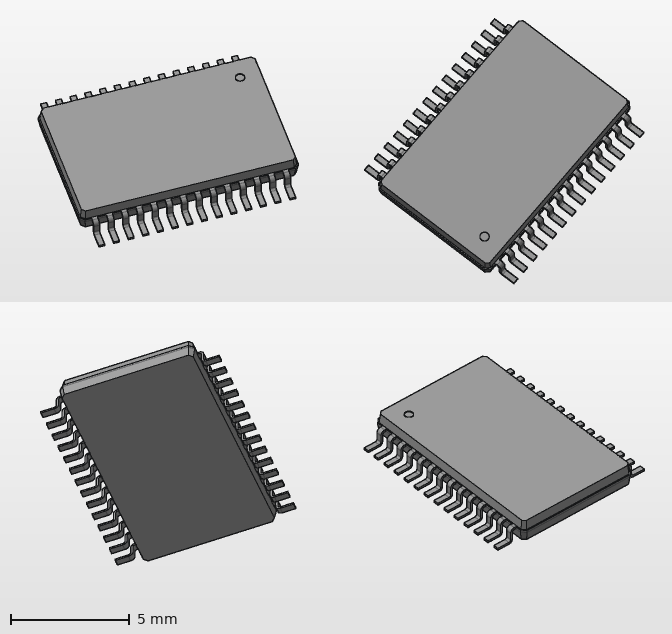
import cadquery as cq

body_length = 9.7
body_width = 6.11
lead_span = 8.1
total_height = 1.2

standoff = 0.19
corner_chamfer = 0.2
cap_ledge = 0.06
cap_top_inset = 0.12
base_bottom_inset = 0.08

leads_per_side = 14
lead_pitch = 0.65
lead_width = 0.26
lead_thickness = 0.11
lead_top = 0.76
shank_outer_face = 3.35
bend_inner_radius = 0.1
bend_outer_radius = bend_inner_radius + lead_thickness
lead_embed = 0.19
lead_root = body_width / 2 - lead_embed

marker_diameter = 0.4
marker_depth = 0.05
marker_x = -2.03
marker_y = 3.82

band_bottom = lead_top - lead_thickness


def body_outline(plane_z, inset):
    """Chamfered rectangle, parallel to the body outline and moved inwards by inset."""
    chamfer = corner_chamfer - inset * (2 - 2**0.5)
    half_x = body_width / 2 - inset
    half_y = body_length / 2 - inset
    points = [
        (half_x, half_y - chamfer),
        (half_x - chamfer, half_y),
        (chamfer - half_x, half_y),
        (-half_x, half_y - chamfer),
        (-half_x, chamfer - half_y),
        (chamfer - half_x, -half_y),
        (half_x - chamfer, -half_y),
        (half_x, chamfer - half_y),
    ]
    return cq.Workplane("XY", origin=(0, 0, plane_z)).polyline(points).close().wires().val()


def tapered_block(bottom_z, bottom_inset, top_z, top_inset):
    """Straight-sided block between two parallel outlines."""
    outlines = [body_outline(bottom_z, bottom_inset), body_outline(top_z, top_inset)]
    return cq.Workplane(cq.Solid.makeLoft(outlines, True))


def make_body():
    base = tapered_block(standoff, base_bottom_inset, band_bottom, 0)
    band = tapered_block(band_bottom, 0, lead_top, 0)
    cap = tapered_block(lead_top, cap_ledge, total_height, cap_top_inset)
    marker = (
        cq.Workplane("XY", origin=(marker_x, marker_y, total_height - marker_depth))
        .circle(marker_diameter / 2)
        .extrude(marker_depth)
    )
    return base.union(band).union(cap).cut(marker)


def make_lead():
    """Gull-wing lead on the +X side, centred on Y = 0, with concentric bends."""
    shank_inner_face = shank_outer_face - lead_thickness
    tip = lead_span / 2
    profile = (
        cq.Workplane("XZ", origin=(0, lead_width / 2, 0))
        .moveTo(lead_root, lead_top)
        .lineTo(shank_outer_face - bend_outer_radius, lead_top)
        .tangentArcPoint((shank_outer_face, lead_top - bend_outer_radius), relative=False)
        .lineTo(shank_outer_face, lead_thickness + bend_inner_radius)
        .tangentArcPoint((shank_outer_face + bend_inner_radius, lead_thickness), relative=False)
        .lineTo(tip, lead_thickness)
        .lineTo(tip, 0)
        .lineTo(shank_inner_face + bend_outer_radius, 0)
        .tangentArcPoint((shank_inner_face, bend_outer_radius), relative=False)
        .lineTo(shank_inner_face, band_bottom - bend_inner_radius)
        .tangentArcPoint((shank_inner_face - bend_inner_radius, band_bottom), relative=False)
        .lineTo(lead_root, band_bottom)
        .close()
    )
    return profile.extrude(lead_width)


def add_leads(body):
    right_lead = make_lead()
    left_lead = right_lead.mirror("YZ")
    first_y = -lead_pitch * (leads_per_side - 1) / 2
    for index in range(leads_per_side):
        lead_y = first_y + index * lead_pitch
        for lead in (right_lead, left_lead):
            body = body.union(lead.translate((0, lead_y, 0)))
    return body


result = add_leads(make_body())